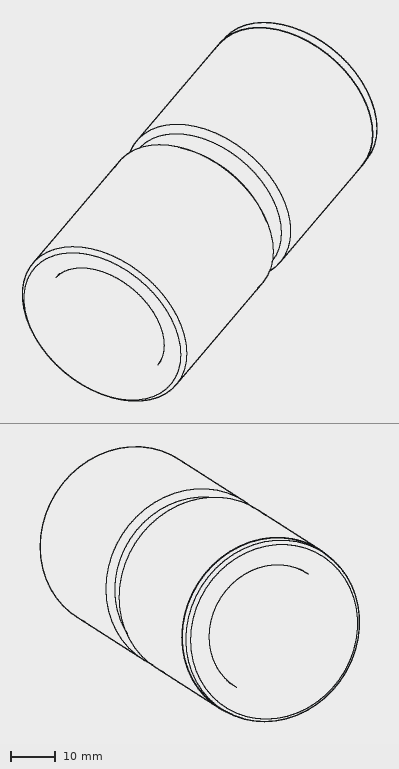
import cadquery as cq

length = 90.0
outer_radius = 42.0 / 2
bore_radius = 30.0 / 2
bore_rounding = 2.0

groove_width = 8.0
groove_depth = 1.5
groove_wall_run = 1.5

front_chamfer = 1.0

lead_length = 3.0
lead_depth = 0.135
back_chamfer = 0.8

front_y = -length / 2
back_y = length / 2
groove_half = groove_width / 2
floor_half = groove_half - groove_wall_run
floor_radius = outer_radius - groove_depth
lead_radius = outer_radius - lead_depth


def make_body():
    """Revolve the outer half profile, drawn as (radius, y), about the Y axis."""
    profile = [
        (0, front_y),
        (outer_radius - front_chamfer, front_y),
        (outer_radius, front_y + front_chamfer),
        (outer_radius, -groove_half),
        (floor_radius, -floor_half),
        (floor_radius, floor_half),
        (outer_radius, groove_half),
        (outer_radius, back_y - lead_length),
        (lead_radius, back_y - lead_length),
        (lead_radius, back_y - back_chamfer),
        (lead_radius - back_chamfer, back_y),
        (0, back_y),
    ]
    return cq.Workplane("XY").polyline(profile).close().revolve(360, (0, 0, 0), (0, 1, 0))


def make_bore():
    """Through bore, flared at both ends by a convex quarter-round."""
    mouth_radius = bore_radius + bore_rounding
    arc_offset = bore_rounding * 0.5**0.5
    arc_radius = mouth_radius - arc_offset
    arc_y = length / 2 - bore_rounding + arc_offset
    return (
        cq.Workplane("XY")
        .moveTo(0, front_y)
        .lineTo(mouth_radius, front_y)
        .threePointArc((arc_radius, -arc_y), (bore_radius, front_y + bore_rounding))
        .lineTo(bore_radius, back_y - bore_rounding)
        .threePointArc((arc_radius, arc_y), (mouth_radius, back_y))
        .lineTo(0, back_y)
        .close()
        .revolve(360, (0, 0, 0), (0, 1, 0))
    )


result = make_body().cut(make_bore())